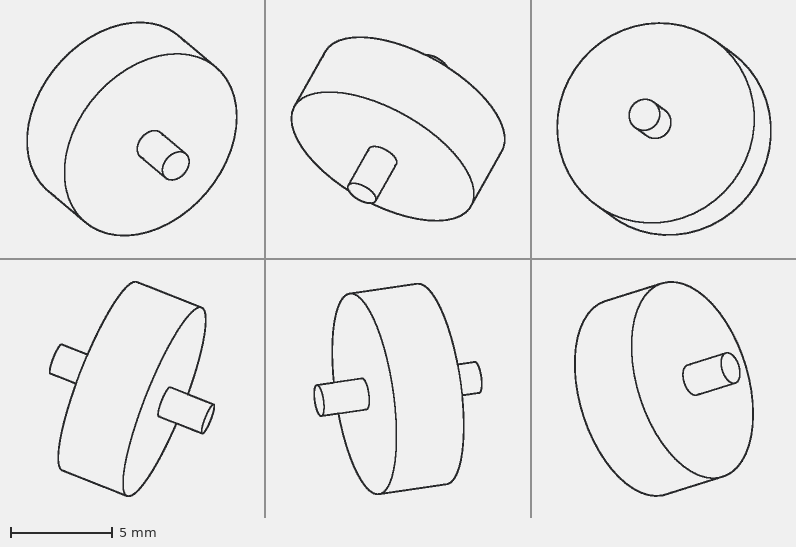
import cadquery as cq

wheel_diameter = 10.0
wheel_width = 3.5
axle_diameter = 1.55
axle_length = 8.2


def centred_cylinder(diameter, length):
    """Cylinder along X, centred on the origin."""
    end_plane = cq.Workplane("YZ").workplane(offset=-length / 2)
    return end_plane.circle(diameter / 2).extrude(length)


wheel = centred_cylinder(wheel_diameter, wheel_width)

axle = centred_cylinder(axle_diameter, axle_length)

result = wheel.union(axle)